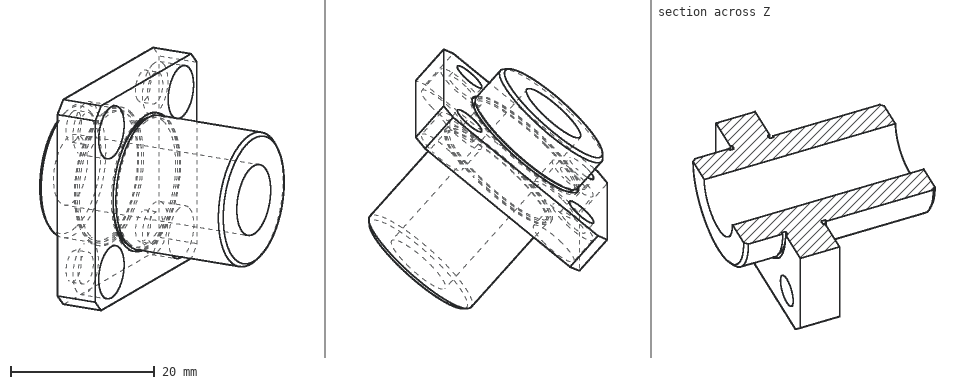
import cadquery as cq
import math

total_length = 29.0
body_diameter = 19.0
bore_diameter = 10.0
end_chamfer = 0.5

flange_size = 30.0
flange_start = 6.0
flange_thickness = 6.0
flange_diagonal = 40.0

screw_hole_diameter = 4.5
screw_hole_pitch = 20.5
counterbore_diameter = 7.5
counterbore_depth = 4.1

groove_diameter = 18.4
groove_width = 0.3

recess_diameter = 19.6
recess_depth = 0.3

flange_corner_chamfer = flange_size - flange_diagonal / math.sqrt(2)
x_front = -total_length / 2
x_rear = total_length / 2
x_flange_front = x_front + flange_start
x_flange_rear = x_flange_front + flange_thickness


def cylinder(diameter, x_start, length):
    """Solid cylinder along +X, centred on the bearing axis."""
    return cq.Workplane("YZ", origin=(x_start, 0, 0)).circle(diameter / 2).extrude(length)


def cylinders_at_corners(diameter, x_start, length):
    """Four cylinders along +X, one on each screw hole axis."""
    return (
        cq.Workplane("YZ", origin=(x_start, 0, 0))
        .rect(screw_hole_pitch, screw_hole_pitch, forConstruction=True)
        .vertices()
        .circle(diameter / 2)
        .extrude(length)
    )


def make_sleeve():
    """Revolved outer sleeve with chamfered ends and a relief groove at each flange face."""
    body_radius = body_diameter / 2
    groove_radius = groove_diameter / 2
    end_radius = body_radius - end_chamfer
    profile = [
        (x_front, 0),
        (x_front, end_radius),
        (x_front + end_chamfer, body_radius),
        (x_flange_front - groove_width, body_radius),
        (x_flange_front - groove_width, groove_radius),
        (x_flange_rear + groove_width, groove_radius),
        (x_flange_rear + groove_width, body_radius),
        (x_rear - end_chamfer, body_radius),
        (x_rear, end_radius),
        (x_rear, 0),
    ]
    return cq.Workplane("XY").polyline(profile).close().revolve(360, (0, 0, 0), (1, 0, 0))


def make_flange():
    """Square flange with chamfered corners, four rear-counterbored screw holes and a recess in each face."""
    plate = (
        cq.Workplane("YZ", origin=(x_flange_front, 0, 0))
        .rect(flange_size, flange_size)
        .extrude(flange_thickness)
        .edges("|X")
        .chamfer(flange_corner_chamfer)
    )
    screw_holes = cylinders_at_corners(screw_hole_diameter, x_flange_front, flange_thickness)
    counterbores = cylinders_at_corners(
        counterbore_diameter, x_flange_rear - counterbore_depth, counterbore_depth
    )
    front_recess = cylinder(recess_diameter, x_flange_front, recess_depth)
    rear_recess = cylinder(recess_diameter, x_flange_rear - recess_depth, recess_depth)
    return plate.cut(screw_holes).cut(counterbores).cut(front_recess).cut(rear_recess)


bore = cylinder(bore_diameter, x_front, total_length)
result = make_flange().union(make_sleeve()).cut(bore)